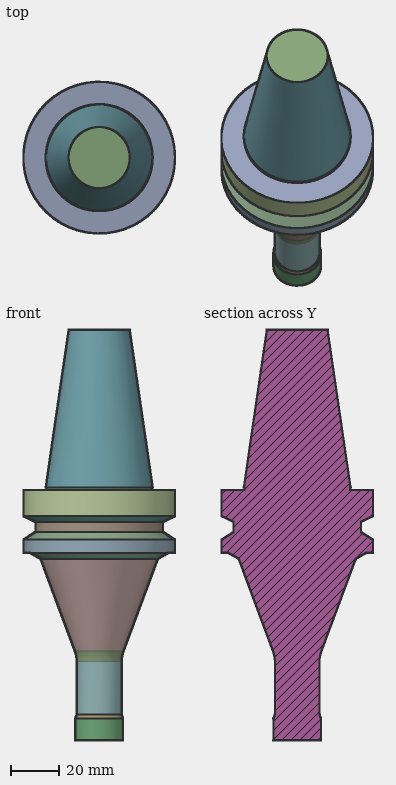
import cadquery as cq
import math

total_height = 170.4
collar_height = 9.2
collar_bevel_top = 10.7
shank_top = 32.7
flange_step_bottom = 75.3
flange_bottom = 77.9
groove_lower_edge = 83.3
groove_floor_bottom = 86.5
groove_floor_top = 90.7
groove_upper_edge = 93.0
flange_top = 104.0
taper_bottom = 105.0

collar_diameter = 20.0
shank_diameter = 18.7
cone_top_diameter = 48.7
flange_step_diameter = 57.8
flange_diameter = 63.0
groove_diameter = 53.0
relief_diameter = 44.0
taper_diameter = 44.5

taper_rate = 7 / 24
taper_top_diameter = taper_diameter - taper_rate * (total_height - taper_bottom)

blend_radius = 12.8
shank_radius = shank_diameter / 2
blend_center_radius = shank_radius + blend_radius

cone_radial_offset = cone_top_diameter / 2 - blend_center_radius
cone_height_above_blend = flange_step_bottom - shank_top
cone_distance = math.hypot(cone_radial_offset, cone_height_above_blend)
cone_angle = (math.atan2(cone_radial_offset, cone_height_above_blend)
              + math.asin(blend_radius / cone_distance))


def blend_point(angle):
    """Point on the shank blend, with the angle measured up from the shank."""
    radius = blend_center_radius - blend_radius * math.cos(angle)
    height = shank_top + blend_radius * math.sin(angle)
    return radius, height


section = (
    cq.Workplane("XZ")
    .lineTo(collar_diameter / 2, 0)
    .lineTo(collar_diameter / 2, collar_height)
    .lineTo(shank_radius, collar_bevel_top)
    .lineTo(shank_radius, shank_top)
    .threePointArc(blend_point(cone_angle / 2), blend_point(cone_angle))
    .lineTo(cone_top_diameter / 2, flange_step_bottom)
    .lineTo(flange_step_diameter / 2, flange_bottom)
    .lineTo(flange_diameter / 2, flange_bottom)
    .lineTo(flange_diameter / 2, groove_lower_edge)
    .lineTo(groove_diameter / 2, groove_floor_bottom)
    .lineTo(groove_diameter / 2, groove_floor_top)
    .lineTo(flange_diameter / 2, groove_upper_edge)
    .lineTo(flange_diameter / 2, flange_top)
    .lineTo(relief_diameter / 2, flange_top)
    .lineTo(relief_diameter / 2, taper_bottom)
    .lineTo(taper_diameter / 2, taper_bottom)
    .lineTo(taper_top_diameter / 2, total_height)
    .lineTo(0, total_height)
    .close()
)

result = section.revolve(360, (0, 0, 0), (0, 1, 0))